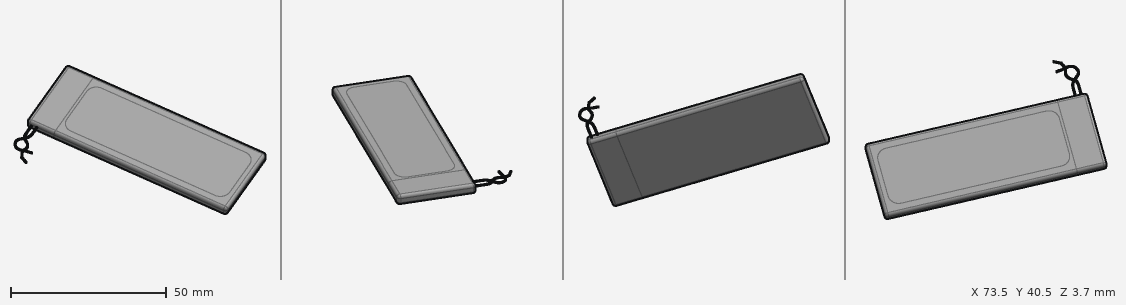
import cadquery as cq

LENGTH = 73.5
WIDTH = 26.5
THICKNESS = 3.7
CAP_LENGTH = 10.0
EDGE_RADIUS = 1.1

LABEL_LENGTH = 60.0
LABEL_WIDTH = 20.0
LABEL_RADIUS = 3.5
LABEL_CAP_GAP = 0.9
LABEL_DEPTH = 0.1

WIRE_DIAMETER = 0.5
WIRE_CLEARANCE = 0.01
WIRE_EMBED = 1.0
LOWER_WIRE_Z = 0.08
UPPER_WIRE_Z = LOWER_WIRE_Z + WIRE_DIAMETER + WIRE_CLEARANCE

LOWER_WIRE_PATH = [
    (1.8, -3.3),
    (2.57, -5.73),
    (3.55, -6.35),
    (4.87, -8.5),
    (4.45, -10.7),
    (5.4, -12.6),
    (7.6, -13.75),
]
UPPER_WIRE_PATH = [
    (3.8, -2.9),
    (2.57, -5.73),
    (0.75, -7.9),
    (1.6, -10.0),
    (3.3, -10.6),
    (4.65, -10.3),
    (7.6, -9.8),
]

LEFT = -LENGTH / 2
FRONT = -WIDTH / 2
TOP = THICKNESS / 2


def make_body():
    """Rounded slab, divided at the seam between the cap and the cell."""
    slab = cq.Workplane("XY").box(LENGTH, WIDTH, THICKNESS).edges().fillet(EDGE_RADIUS)
    cap_zone = cq.Workplane("XY").box(2 * CAP_LENGTH, 2 * WIDTH, 2 * THICKNESS)
    cap_zone = cap_zone.translate((LEFT, 0, 0))
    cap = slab.intersect(cap_zone)
    cell = slab.cut(cap_zone)
    return cap.union(cell, clean=False)


def make_label():
    """Rounded rectangle sunk flush into the top face, leaving only its outline."""
    center_x = LEFT + CAP_LENGTH + LABEL_CAP_GAP + LABEL_LENGTH / 2
    return (
        cq.Workplane("XY", origin=(center_x, 0, TOP))
        .rect(LABEL_LENGTH, LABEL_WIDTH)
        .extrude(-LABEL_DEPTH)
        .edges("|Z")
        .fillet(LABEL_RADIUS)
    )


def make_wire(path, height):
    """Round lead that starts inside the body and follows the path at one height."""
    points = [(LEFT + x, FRONT + y) for x, y in path]
    bend_x, bend_y = points[0]
    start_y = FRONT + WIRE_EMBED
    end_direction = (points[-1][0] - points[-2][0], points[-1][1] - points[-2][1])
    center_line = (
        cq.Workplane("XY", origin=(0, 0, height))
        .moveTo(bend_x, start_y)
        .lineTo(bend_x, bend_y)
        .spline(points[1:], tangents=[(0, -1), end_direction], includeCurrent=True)
    )
    return (
        cq.Workplane("XZ", origin=(bend_x, start_y, height))
        .circle(WIRE_DIAMETER / 2)
        .sweep(center_line)
    )


result = make_body().union(make_label(), clean=False)
result = result.union(make_wire(LOWER_WIRE_PATH, LOWER_WIRE_Z), clean=False)
result = result.union(make_wire(UPPER_WIRE_PATH, UPPER_WIRE_Z), clean=False)